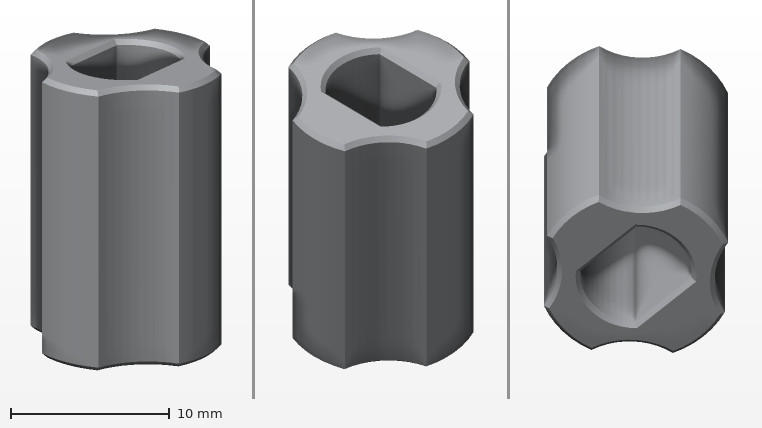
import cadquery as cq
import math

LENGTH = 18.75
OUTER_DIAMETER = 12.5
LOBE_WIDTH = 4.44
FLUTE_FLOOR_RADIUS = 4.96
LOBE_COUNT = 4
BORE_DIAMETER = 7.0
BORE_FLAT_WIDTH = 5.08
CHAMFER = 0.3

OUTER_RADIUS = OUTER_DIAMETER / 2
LOBE_PITCH = 2 * math.pi / LOBE_COUNT
LOBE_HALF_ANGLE = math.asin(LOBE_WIDTH / OUTER_DIAMETER)


def polar(radius, angle):
    """Return the XY point at a radius and angle about the part axis."""
    return (radius * math.cos(angle), radius * math.sin(angle))


def make_body():
    """Round bar with concave flutes between its lobes."""
    outline = cq.Workplane("XY").moveTo(*polar(OUTER_RADIUS, -LOBE_HALF_ANGLE))
    for index in range(LOBE_COUNT):
        lobe_angle = index * LOBE_PITCH
        next_lobe_angle = lobe_angle + LOBE_PITCH
        lobe_end = polar(OUTER_RADIUS, lobe_angle + LOBE_HALF_ANGLE)
        next_lobe_start = polar(OUTER_RADIUS, next_lobe_angle - LOBE_HALF_ANGLE)
        flute_floor = polar(FLUTE_FLOOR_RADIUS, lobe_angle + LOBE_PITCH / 2)
        outline = outline.threePointArc(polar(OUTER_RADIUS, lobe_angle), lobe_end)
        outline = outline.threePointArc(flute_floor, next_lobe_start)
    return outline.close().extrude(LENGTH)


def make_bore():
    """Double-D prism that runs the full length of the part."""
    cylinder = cq.Workplane("XY").circle(BORE_DIAMETER / 2).extrude(LENGTH)
    flats = cq.Workplane("XY").box(
        BORE_FLAT_WIDTH,
        BORE_DIAMETER,
        LENGTH,
        centered=(True, True, False),
    )
    return cylinder.intersect(flats)


def chamfer_ends(part):
    """Chamfer the outer outline and the bore rim on both end faces."""
    return part.faces("<Z or >Z").chamfer(CHAMFER)


result = chamfer_ends(make_body().cut(make_bore()))